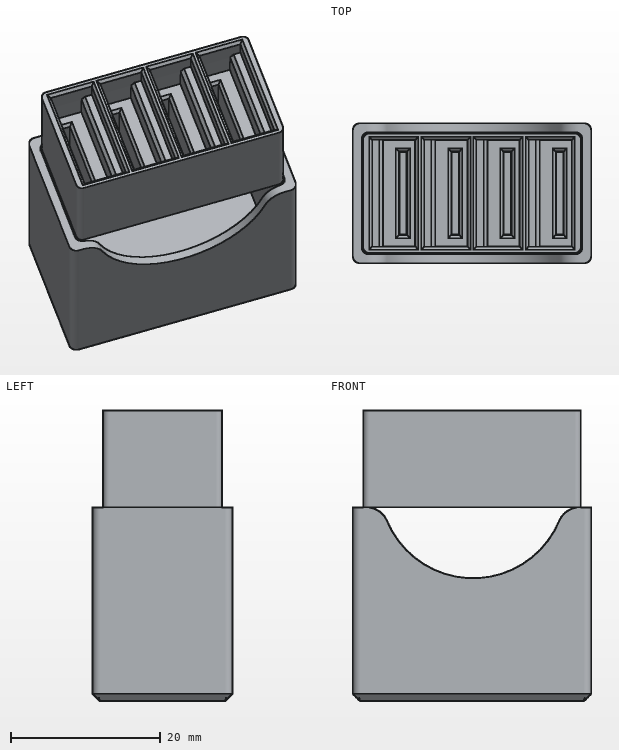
import cadquery as cq

housing_length = 32.0
housing_width = 18.8
housing_height = 26.0
housing_wall = 1.2
housing_floor = 1.0
housing_corner_radius = 1.0
foot_chamfer = 1.0

notch_radius = 12.5
notch_center_rise = 3.0
notch_center_height = housing_height + notch_center_rise
notch_lip_radius = 3.0
notch_offset = 0.15

tray_clearance = 0.2
tray_length = housing_length - 2 * (housing_wall + tray_clearance)
tray_width = housing_width - 2 * (housing_wall + tray_clearance)
tray_height = 13.0
tray_corner_radius = 0.8
tray_bottom = housing_height
tray_top = tray_bottom + tray_height

pocket_count = 4
pocket_pitch = 7.0
pocket_length = 5.8
pocket_width = 14.3
mouth_chamfer = 0.4
straight_depth = 3.0
shelf_length = 0.95
shelf_bevel = 0.5
lower_depth = 3.0
draft_angle = 1.0

slot_length = 1.1
slot_width = 11.2
slot_depth = 5.0
slot_chamfer = 0.4
slot_offset = 1.25


def block(length, width, bottom, top, center_x=0.0):
    """Upright box centred on Y and on the given X."""
    return (
        cq.Workplane("XY", origin=(center_x, 0, bottom))
        .rect(length, width)
        .extrude(top - bottom)
    )


def flared_mouth(length, width, top, chamfer, center_x):
    """Cutter that widens the top of a rectangular opening at 45 degrees."""
    return (
        cq.Workplane("XY", origin=(center_x, 0, top - chamfer))
        .rect(length, width)
        .workplane(offset=chamfer)
        .rect(length + 2 * chamfer, width + 2 * chamfer)
        .loft(ruled=True)
    )


def finger_notch():
    """Cutter along Y: a round scoop whose upper corners roll over onto the rim."""
    center_distance = notch_radius + notch_lip_radius
    lip_x = (center_distance**2 - (notch_center_rise + notch_lip_radius) ** 2) ** 0.5
    lip_z = housing_height - notch_lip_radius

    share = notch_radius / center_distance
    tangent_x = lip_x * share
    tangent_z = notch_center_height + (lip_z - notch_center_height) * share

    mid_x = (tangent_x - lip_x) / notch_lip_radius
    mid_z = (tangent_z - lip_z) / notch_lip_radius + 1
    mid_size = (mid_x**2 + mid_z**2) ** 0.5
    lip_mid_x = lip_x + notch_lip_radius * mid_x / mid_size
    lip_mid_z = lip_z + notch_lip_radius * mid_z / mid_size

    return (
        cq.Workplane("XZ")
        .moveTo(-lip_x, housing_height)
        .threePointArc((-lip_mid_x, lip_mid_z), (-tangent_x, tangent_z))
        .threePointArc((0, notch_center_height - notch_radius), (tangent_x, tangent_z))
        .threePointArc((lip_mid_x, lip_mid_z), (lip_x, housing_height))
        .close()
        .extrude(housing_width, both=True)
    )


def make_housing():
    cavity_length = housing_length - 2 * housing_wall
    cavity_width = housing_width - 2 * housing_wall
    cavity_corner_radius = tray_corner_radius + tray_clearance
    shell = (
        block(housing_length, housing_width, 0, housing_height)
        .edges("|Z").fillet(housing_corner_radius)
        .faces("<Z").chamfer(foot_chamfer)
    )
    cavity = (
        block(cavity_length, cavity_width, housing_floor, housing_height)
        .edges("|Z").fillet(cavity_corner_radius)
    )
    return shell.cut(cavity).cut(finger_notch().translate((notch_offset, 0, 0)))


def tapered_block(length, width, top, depth, center_x):
    """Cutter running down from the given top, its four sides leaning inward."""
    return (
        cq.Workplane("XY", origin=(center_x, 0, top))
        .rect(length, width)
        .extrude(-depth, taper=draft_angle)
    )


def pocket(center_x):
    """Cutter for one stepped pocket with the slot in its floor."""
    left = center_x - pocket_length / 2
    right = center_x + pocket_length / 2
    bevel_bottom_x = left + shelf_length + shelf_bevel
    bevel_bottom_z = tray_top - straight_depth
    shelf_z = bevel_bottom_z + shelf_bevel

    upper = (
        cq.Workplane("XZ")
        .moveTo(left, tray_top)
        .lineTo(left, shelf_z)
        .lineTo(left + shelf_length, shelf_z)
        .lineTo(bevel_bottom_x, bevel_bottom_z)
        .lineTo(right, bevel_bottom_z)
        .lineTo(right, tray_top)
        .close()
        .extrude(pocket_width / 2, both=True)
    )
    mouth = flared_mouth(pocket_length, pocket_width, tray_top, mouth_chamfer, center_x)

    lower_x = (bevel_bottom_x + right) / 2
    lower_length = right - bevel_bottom_x
    lower = tapered_block(lower_length, pocket_width, bevel_bottom_z, lower_depth, lower_x)

    floor_z = bevel_bottom_z - lower_depth
    slot_x = center_x + slot_offset
    slot_top = floor_z - slot_chamfer
    slot_mouth = flared_mouth(slot_length, slot_width, floor_z, slot_chamfer, slot_x)
    slot = tapered_block(slot_length, slot_width, slot_top, slot_depth, slot_x)

    return upper.union(mouth).union(lower).union(slot_mouth).union(slot)


def make_tray():
    tray = (
        block(tray_length, tray_width, tray_bottom, tray_top)
        .edges("|Z").fillet(tray_corner_radius)
    )
    for index in range(pocket_count):
        center_x = (index - (pocket_count - 1) / 2) * pocket_pitch
        tray = tray.cut(pocket(center_x))
    return tray


housing = make_housing()
tray = make_tray()
result = cq.Compound.makeCompound([housing.val(), tray.val()])